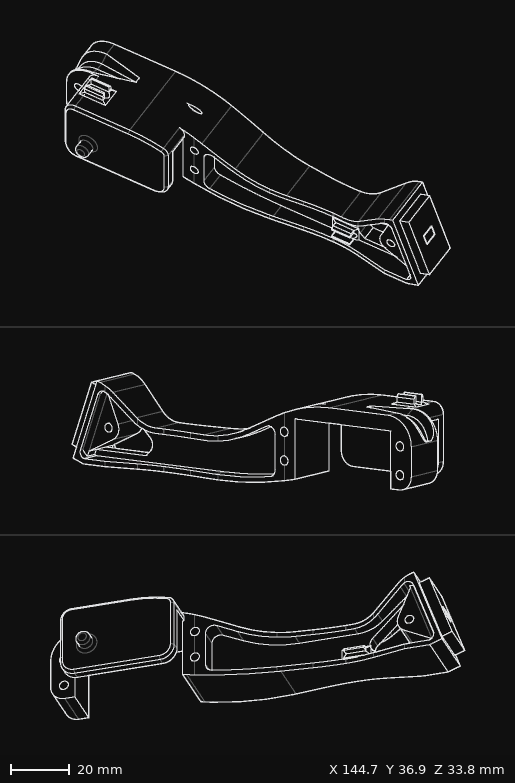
import cadquery as cq
import math

total_length = 144.7
top_z = 30.3
body_width = 20.1
mid_y = -body_width / 2
base_z = 4.8

ear_length = 8.7
ear_width = 15.3
ear_top_radius = 10.0
ear_bottom_radius = 5.0
cavity_end_x = 48.9
cavity_roof_z = 24.9
cover_end_x = 49.5
cover_y = -32.0
cover_thickness = 4.0
cover_left_radius = 4.0
cover_bottom_radius = 5.0
cover_right_radius = 2.6
cover_chamfer = 1.0

screw_diameter = 3.2
screw_xs = (4.8, 53.4)
screw_zs = (10.0, 20.0)

pin_x = 18.4
pin_z = 15.0
pin_diameter = 5.0
pin_length = 4.9
pin_root_fillet = 1.2
pin_tip_fillet = 1.0

slope_angle = 25.2
crest_x = 45.9
crest_radius = 52.1
waist_z = 14.9
valley_radius = 45.3
neck_x = 113.9
neck_radius = 11.0
rise_angle = 43.0
shoulder_radius = 14.5
heel_x = 66.9
heel_z = 3.9
heel_radius = 156.3

tilt = 20.0
face_bottom = (142.1, 1.6)
face_length = 29.7
pad_length = 23.9
pad_width = 14.0
pad_recess_width = 5.2
pad_recess_height = 3.8
pad_recess_depth = 0.3

waist_inset = 3.5
plan_corners = ((67.9, 0, 275.0), (100.6, waist_inset, 108.5), (111.7, waist_inset, 50.7), (128.7, 0, 0))

lip = 1.9
pocket_start_x = 57.2
pocket_corner = 2.8
pocket_end_corner = 2.2
web_thickness = 5.6
web_front_y = mid_y - web_thickness / 2
window_tip = (112.6, 8.1)
window_floor_z = 4.0
window_inset = 3.5
window_tip_radius = 3.2
window_top_radius = 0.7
eyelet_center = (129.4, 13.0)
eyelet_radius = 4.3
eyelet_hole = 3.0

clip_length = 7.2
clip_height = 3.5
clip_gap = 3.0
clip_prong = 1.2
clip_tip = 0.6
clip_dish_height = 0.9
clip_dish_floor = 0.3
clip_bevel_start = 2.5
clip_end_flare = 1.6
clip_side_flare = 1.0
clip_flare_height = 0.7
clip_sink = 0.6
housing_clip_x = 16.2
housing_clip_y = -21.9
arm_clip_x = 109.1
arm_clip_z = 3.9
cable_diameter = 1.5
cable_z = 28.4
cable_exit_x = 52.1
groove_tip_x = 25.0
groove_half_width = 4.8
groove_floor_half = 1.5
groove_nose_depth = 1.7
groove_tip_half_width = 1.2
groove_sections = 8
groove_end = 0.97
groove_clearance = 0.7

sin_tilt = math.sin(math.radians(tilt))
cos_tilt = math.cos(math.radians(tilt))
tan_slope = math.tan(math.radians(slope_angle))


def rounded_outline(corners, plane="XZ"):
    """Closed outline through (u, v, radius) corners, each rounded by a tangent arc."""
    count = len(corners)
    path = cq.Workplane(plane)
    for i, (u, v, radius) in enumerate(corners):
        corner = cq.Vector(u, v)
        before = (cq.Vector(*corners[i - 1][:2]) - corner).normalized()
        after = (cq.Vector(*corners[(i + 1) % count][:2]) - corner).normalized()
        half_angle = before.getAngle(after) / 2
        reach = radius / math.tan(half_angle)
        start = corner + before * reach
        path = path.lineTo(start.x, start.y) if i else path.moveTo(start.x, start.y)
        if radius:
            bisector = (before + after).normalized()
            middle = corner + bisector * (radius / math.sin(half_angle) - radius)
            end = corner + after * reach
            path = path.threePointArc((middle.x, middle.y), (end.x, end.y))
    return path.close()


def meet(p, p_angle, q, q_angle):
    """Crossing point of two lines, each given by a point and an angle in degrees."""
    p_slope = math.tan(math.radians(p_angle))
    q_slope = math.tan(math.radians(q_angle))
    u = (q[1] - p[1] + p_slope * p[0] - q_slope * q[0]) / (p_slope - q_slope)
    return u, p[1] + p_slope * (u - p[0])


def box(x0, x1, y0, y1, z0, z1):
    return cq.Workplane("XY").box(x1 - x0, y1 - y0, z1 - z0, centered=False).translate((x0, y0, z0))


def on_face(along, outward):
    """XZ point measured up the tilted end face from its lower edge and out from it."""
    x = face_bottom[0] - along * sin_tilt + outward * cos_tilt
    z = face_bottom[1] + along * cos_tilt + outward * sin_tilt
    return x, z


def valley_corner():
    """Corner where the descent behind the housing meets the waist."""
    return crest_x + (top_z - waist_z) / tan_slope, waist_z


def side_corners():
    """Corners of the lever's side profile, clockwise from the bottom of the ear."""
    face_top = on_face(face_length, 0)
    neck = (neck_x, waist_z)
    shoulder = meet(neck, rise_angle, face_top, tilt)
    toe = meet(face_bottom, tilt, (0, 0), 0)
    return [
        (0, base_z, ear_bottom_radius),
        (0, top_z, ear_top_radius),
        (crest_x, top_z, crest_radius),
        (*valley_corner(), valley_radius),
        (*neck, neck_radius),
        (*shoulder, shoulder_radius),
        (*face_top, 0),
        (*face_bottom, 0),
        (*toe, 0),
        (heel_x, 0, heel_radius),
        (cavity_end_x, heel_z, 0),
        (cavity_end_x, base_z, 0),
    ]


def lever_body():
    """Side profile across the body width, trimmed to the waisted plan shape."""
    side = rounded_outline(side_corners()).extrude(body_width)
    back = [(x, -inset, radius) for x, inset, radius in plan_corners]
    front = [(x, inset - body_width, radius) for x, inset, radius in reversed(plan_corners)]
    ends = [(total_length, 0, 0), (total_length, -body_width, 0)]
    outline = [(0, 0, 0)] + back + ends + front + [(0, -body_width, 0)]
    plan = rounded_outline(outline, "XY").extrude(top_z)
    relief_end = cavity_end_x - 2 * cover_right_radius
    ear_relief = box(0, relief_end, -body_width, -ear_width, 0, top_z)
    cavity = box(ear_length, cavity_end_x, -body_width, 0, 0, cavity_roof_z)
    return side.intersect(plan).cut(ear_relief).cut(cavity)


def cover():
    """Roof overhang and outer plate in front of the servo cavity."""
    valley = valley_corner()
    plate = rounded_outline([
        (ear_length, base_z, cover_bottom_radius),
        (ear_length, top_z, cover_left_radius),
        (crest_x, top_z, crest_radius),
        (*valley, 0),
        (valley[0], base_z, 0),
    ]).extrude(-cover_y)
    plate = plate.intersect(box(0, cover_end_x, cover_y, -ear_width, 0, top_z))
    plate = plate.faces(">X").edges(">Z").fillet(cover_right_radius)
    plate = plate.faces(">X").edges("<Z").fillet(cover_bottom_radius)
    plate = plate.faces("<Y").chamfer(cover_chamfer)
    space = box(0, total_length, cover_y + cover_thickness, 0, 0, cavity_roof_z)
    return plate.cut(space)


def pad():
    """Raised block on the tilted end face, with a shallow rectangular recess."""
    low = (face_length - pad_length) / 2
    high = low + pad_length
    thickness = (total_length - on_face(low, 0)[0]) / cos_tilt
    points = [on_face(low, 0), on_face(low, thickness), on_face(high, thickness), on_face(high, 0)]
    side = cq.Workplane("XZ", origin=(0, mid_y + pad_width / 2, 0))
    block = side.polyline(points).close().extrude(pad_width)
    x, z = on_face(face_length / 2, thickness - pad_recess_depth)
    axis = cq.Plane(origin=(x, mid_y, z), xDir=(0, 1, 0), normal=(cos_tilt, 0, sin_tilt))
    recess = cq.Workplane(axis).rect(pad_recess_width, pad_recess_height).extrude(pad_recess_depth)
    return block.cut(recess)


def arm_pockets():
    """Recesses from both sides that leave a central web and an even lip."""
    recess = rounded_outline(side_corners()).offset2D(-lip).extrude(body_width)
    recess = recess.intersect(box(pocket_start_x, total_length, -body_width, 0, 0, top_z))
    recess = recess.edges("|Y and <X").fillet(pocket_corner)
    end_wall_x = face_bottom[0] - face_length * sin_tilt - lip
    end_wall = cq.selectors.BoxSelector(
        (end_wall_x, -body_width, face_bottom[1] + lip / 2), (total_length, 0, top_z)
    )
    recess = recess.edges("|Y").edges(end_wall).fillet(pocket_end_corner)
    web = box(0, total_length, web_front_y, web_front_y + web_thickness, 0, top_z)
    return recess.cut(web)


def tangent_point(p, center, radius, side):
    """Where the tangent from p touches the circle, on the chosen side (+1 or -1)."""
    dx = p[0] - center[0]
    dz = p[1] - center[1]
    angle = math.atan2(dz, dx) + side * math.acos(radius / math.hypot(dx, dz))
    return center[0] + radius * math.cos(angle), center[1] + radius * math.sin(angle)


def window_corners():
    """Tip, top and bottom-right corners of the window."""
    wall = on_face(0, -window_inset)
    top = meet(window_tip, 45, wall, 90 + tilt)
    low = meet(wall, 90 + tilt, (0, window_floor_z), 0)
    return window_tip, top, low


def window():
    """Opening through the web, ahead of the end wall."""
    tip, top, low = window_corners()
    floor_start = tip[0] + tip[1] - window_floor_z
    return rounded_outline([
        (*tip, window_tip_radius),
        (*top, window_top_radius),
        (*low, 0),
        (floor_start, window_floor_z, 0),
    ]).extrude(body_width)


def eyelet():
    """Drilled lug standing in from the end wall, blended into the wall by a cove on each side."""
    _, top, low = window_corners()
    edge = [
        top,
        tangent_point(top, eyelet_center, eyelet_radius, 1),
        eyelet_center,
        tangent_point(low, eyelet_center, eyelet_radius, -1),
        low,
    ]
    front = cq.Workplane("XZ", origin=(0, mid_y + pad_width / 2, 0))
    lug = front.polyline(edge).close().extrude(pad_width)
    lug = lug.union(front.center(*eyelet_center).circle(eyelet_radius).extrude(pad_width))
    hole = front.center(*eyelet_center).circle(eyelet_hole / 2).extrude(pad_width)

    half = pad_width / 2
    cove = window_inset - lip
    bend = cove * (1 - math.sqrt(0.5))
    x, z = on_face(lip, -window_inset)
    along_wall = cq.Plane(origin=(x, mid_y, z), xDir=(0, -1, 0), normal=(-sin_tilt, 0, cos_tilt))
    backing = (
        cq.Workplane(along_wall)
        .moveTo(-half, 0)
        .threePointArc((-half - bend, cove - bend), (-half - cove, cove))
        .lineTo(half + cove, cove)
        .threePointArc((half + bend, cove - bend), (half, 0))
        .close()
        .extrude(face_length - 2 * lip)
    )
    return lug.union(backing).cut(hole)


def pin():
    """Pivot pin with a coved root and a rounded tip, pointing along -Y."""
    radius = pin_diameter / 2
    root = radius + pin_root_fillet
    bend = pin_root_fillet * (1 - math.sqrt(0.5))
    profile = (
        cq.Workplane("XY")
        .moveTo(0, cover_thickness / 2)
        .lineTo(root, cover_thickness / 2)
        .lineTo(root, 0)
        .threePointArc((radius + bend, -bend), (radius, -pin_root_fillet))
        .lineTo(radius, pin_tip_fillet - pin_length)
        .radiusArc((radius - pin_tip_fillet, -pin_length), pin_tip_fillet)
        .lineTo(0, -pin_length)
        .close()
    )
    return profile.revolve(360, (0, 0), (0, 1)).translate((pin_x, cover_y, pin_z))


def cable_clip():
    """Two-pronged cable clip lying along X, root at Z = 0."""
    inner = clip_gap / 2
    outer = inner + clip_prong
    section = (
        cq.Workplane("YZ")
        .moveTo(-outer, -clip_sink)
        .lineTo(-outer, clip_bevel_start)
        .lineTo(-inner - clip_tip, clip_height)
        .lineTo(-inner, clip_height)
        .lineTo(-inner, clip_dish_height)
        .threePointArc((0, clip_dish_floor), (inner, clip_dish_height))
        .lineTo(inner, clip_height)
        .lineTo(inner + clip_tip, clip_height)
        .lineTo(outer, clip_bevel_start)
        .lineTo(outer, -clip_sink)
        .close()
        .extrude(clip_length / 2, both=True)
    )
    skirt = (
        cq.Workplane("XY")
        .rect(clip_length + 2 * clip_end_flare, 2 * (outer + clip_side_flare))
        .workplane(offset=clip_flare_height)
        .rect(clip_length, 2 * outer)
        .loft()
    )
    channel = (
        cq.Workplane("YZ")
        .moveTo(-inner, clip_dish_height)
        .threePointArc((0, clip_dish_floor), (inner, clip_dish_height))
        .close()
        .extrude(clip_length, both=True)
    )
    return section.union(skirt.cut(channel))


def groove_section(origin, along, half_width, floor_half, depth):
    """Trapezoid section square to the groove at a surface point, flanks carried on above the surface."""
    spread = half_width + groove_clearance * (half_width - floor_half) / depth
    plane = cq.Plane(origin=origin, xDir=(0, -1, 0), normal=along)
    points = [
        (-spread, groove_clearance),
        (spread, groove_clearance),
        (floor_half, -depth),
        (-floor_half, -depth),
    ]
    return cq.Workplane(plane).polyline(points).close().val()


def cable_groove():
    """Groove that wraps the nose and narrows along the roof into a straight cable hole."""
    nose = []
    for i in range(groove_sections):
        share = groove_end * i / (groove_sections - 1)
        swell = math.sqrt(1 - share ** 4)
        angle = share * math.pi / 2
        along = (-math.cos(angle), 0, -math.sin(angle))
        x = ear_top_radius * (1 - math.sin(angle))
        z = top_z - ear_top_radius * (1 - math.cos(angle))
        widths = (groove_half_width * swell, groove_floor_half * swell, groove_nose_depth * swell)
        nose.append(groove_section((x, mid_y, z), along, *widths))
    hole_radius = cable_diameter / 2
    tip_depth = top_z - cable_z + hole_radius
    tip_origin = (groove_tip_x, mid_y, top_z)
    tip = groove_section(tip_origin, (-1, 0, 0), groove_tip_half_width, hole_radius, tip_depth)
    taper = cq.Solid.makeLoft([tip, nose[0]], True)
    wrap = cq.Solid.makeLoft(nose, False)
    hole = cq.Workplane("YZ", origin=(groove_tip_x, mid_y, cable_z)).circle(hole_radius)
    return cq.Workplane(taper).union(wrap).union(hole.extrude(cable_exit_x - groove_tip_x))


def screw_holes():
    centers = [(x, z) for x in screw_xs for z in screw_zs]
    return cq.Workplane("XZ").pushPoints(centers).circle(screw_diameter / 2).extrude(body_width)


housing_clip = cable_clip().translate((housing_clip_x, housing_clip_y, top_z))
arm_clip = cable_clip().rotate((0, 0, 0), (1, 0, 0), 90).translate((arm_clip_x, web_front_y, arm_clip_z))

result = (
    lever_body()
    .cut(arm_pockets())
    .cut(window())
    .union(eyelet())
    .union(cover())
    .union(pad())
    .union(pin())
    .union(housing_clip)
    .union(arm_clip)
    .cut(cable_groove())
    .cut(screw_holes())
)